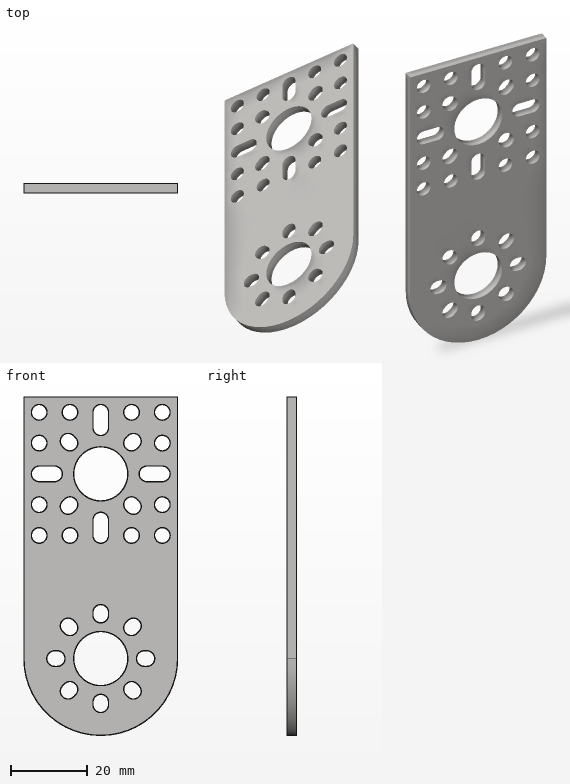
import cadquery as cq
import math

width = 40.0
thickness = 2.5
end_radius = width / 2
bore_spacing = 48.0
top_z = bore_spacing + end_radius

bore_diameter = 14.0
hole_diameter = 4.0
pitch = 8.0
grid_reach = 2

long_slot_length = 8.0
long_slot_radius = 14.0

inner_hole_radius = pitch * math.sqrt(2)
outer_hole_radius = 12.0
short_slot_radius = (inner_hole_radius + outer_hole_radius) / 2
short_slot_length = outer_hole_radius - inner_hole_radius + hole_diameter

quadrant_angles = [0, 90, 180, 270]
diagonal_angles = [45, 135, 225, 315]


def sketch_plane():
    """XZ workplane on the front face; negative extrusion goes toward +Y."""
    return cq.Workplane("XZ")


def make_plate():
    """Rectangle with a full-width round lower end."""
    return (
        sketch_plane()
        .moveTo(-end_radius, 0)
        .lineTo(-end_radius, top_z)
        .lineTo(end_radius, top_z)
        .lineTo(end_radius, 0)
        .threePointArc((0, -end_radius), (-end_radius, 0))
        .close()
        .extrude(-thickness)
    )


def round_cutter(points, diameter):
    """Cylinders through the plate, centred on the given points."""
    return sketch_plane().pushPoints(points).circle(diameter / 2).extrude(-thickness)


def cut_radial_slots(body, center_z, angles, radius, length):
    """Cut slots pointing away from a bore centre at the given angles."""
    for angle in angles:
        x = radius * math.cos(math.radians(angle))
        z = center_z + radius * math.sin(math.radians(angle))
        slot = sketch_plane().center(x, z).slot2D(length, hole_diameter, angle).extrude(-thickness)
        body = body.cut(slot)
    return body


def grid_hole_points():
    """Border of a 5 x 5 grid around the upper bore, without the side midpoints."""
    points = []
    for column in range(-grid_reach, grid_reach + 1):
        for row in range(-grid_reach, grid_reach + 1):
            on_border = max(abs(column), abs(row)) == grid_reach
            on_axis = column == 0 or row == 0
            if on_border and not on_axis:
                points.append((column * pitch, bore_spacing + row * pitch))
    return points


result = make_plate()
result = result.cut(round_cutter([(0, 0), (0, bore_spacing)], bore_diameter))
result = result.cut(round_cutter(grid_hole_points(), hole_diameter))
result = cut_radial_slots(result, bore_spacing, quadrant_angles, long_slot_radius, long_slot_length)
result = cut_radial_slots(result, bore_spacing, diagonal_angles, short_slot_radius, short_slot_length)
result = cut_radial_slots(
    result, 0, quadrant_angles + diagonal_angles, short_slot_radius, short_slot_length
)